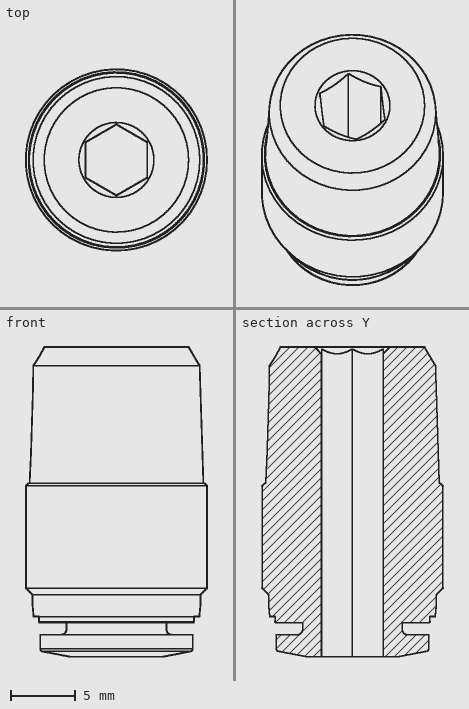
import cadquery as cq
import math

height = 23.9
dome_edge_z = 0.43
flange_round_z = 0.62
flange_top_z = 1.72
collar_bottom_z = 2.63
ring_bottom_z = 3.1
ring_taper_top_z = 4.1
sleeve_bottom_z = 4.8
sleeve_top_z = 13.4
nose_chamfer_z = 22.45

bottom_face_radius = 3.55
flange_radius = 11.8 / 2
neck_radius = 7.75 / 2
collar_radius = 12.0 / 2
ring_radius = 13.0 / 2
ring_lower_radius = 6.4
sleeve_radius = 14.0 / 2
grip_lower_radius = 6.72
grip_upper_radius = 6.43
top_face_radius = 5.57

flange_edge_inset = 0.1
neck_fillet = 0.38
collar_chamfer = 0.07
sleeve_top_chamfer = 0.22
sleeve_bottom_chamfer = sleeve_radius - ring_radius

hex_across_flats = 4.73
hex_across_corners = hex_across_flats / math.cos(math.radians(30))
mouth_radius = 2.9
mouth_cone_angle = 45.0


def make_body():
    """Revolve the outer half profile about the Z axis."""
    fillet_mid_offset = neck_fillet * (1 - math.sqrt(0.5))
    profile = (
        cq.Workplane("XZ")
        .moveTo(0, 0)
        .lineTo(bottom_face_radius, 0)
        .lineTo(flange_radius - flange_edge_inset, dome_edge_z)
        .lineTo(flange_radius, flange_round_z)
        .lineTo(flange_radius, flange_top_z)
        .lineTo(neck_radius + neck_fillet, flange_top_z)
        .threePointArc(
            (neck_radius + fillet_mid_offset, flange_top_z + fillet_mid_offset),
            (neck_radius, flange_top_z + neck_fillet),
        )
        .lineTo(neck_radius, collar_bottom_z)
        .lineTo(collar_radius - collar_chamfer, collar_bottom_z)
        .lineTo(collar_radius, collar_bottom_z + collar_chamfer)
        .lineTo(collar_radius, ring_bottom_z)
        .lineTo(ring_lower_radius, ring_bottom_z)
        .lineTo(ring_radius, ring_taper_top_z)
        .lineTo(ring_radius, sleeve_bottom_z)
        .lineTo(sleeve_radius, sleeve_bottom_z + sleeve_bottom_chamfer)
        .lineTo(sleeve_radius, sleeve_top_z - sleeve_top_chamfer)
        .lineTo(sleeve_radius - sleeve_top_chamfer, sleeve_top_z)
        .lineTo(grip_lower_radius, sleeve_top_z)
        .lineTo(grip_upper_radius, nose_chamfer_z)
        .lineTo(top_face_radius, height)
        .lineTo(0, height)
        .close()
    )
    return profile.revolve(360, (0, 0, 0), (0, 1, 0))


def make_socket():
    """Hexagonal prism along Z, with two corners on the Y axis."""
    return (
        cq.Workplane("XY")
        .transformed(rotate=(0, 0, 90))
        .polygon(6, hex_across_corners)
        .extrude(height)
    )


def make_mouth():
    """Cone that narrows downward from the top face to a point, relieving the socket's upper rim."""
    depth = mouth_radius * math.tan(math.radians(mouth_cone_angle))
    tip = cq.Vector(0, 0, height - depth)
    return cq.Workplane(cq.Solid.makeCone(0, mouth_radius, depth, pnt=tip))


result = make_body().cut(make_socket()).cut(make_mouth())